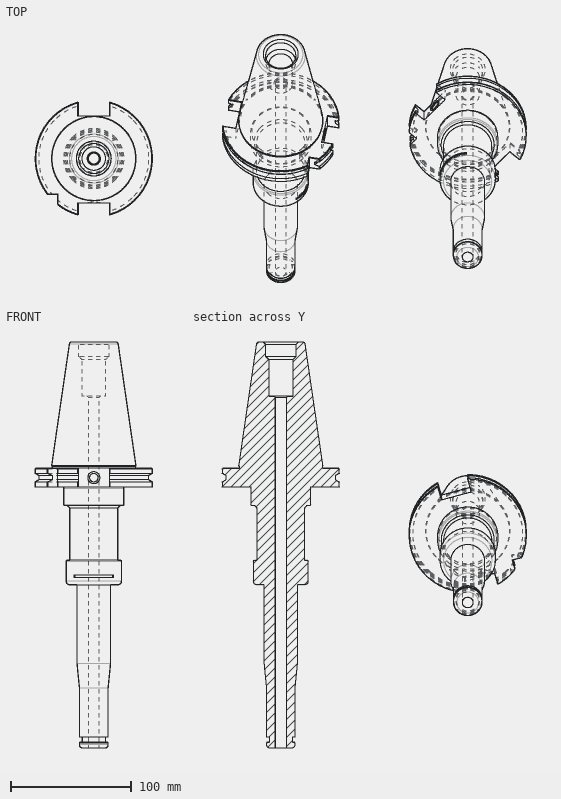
import cadquery as cq
import math


GAUGE_DIA = 69.85
TAPER_RATIO = 7 / 24
TAPER_LENGTH = 101.75
TAPER_TOP_DIA = GAUGE_DIA - TAPER_LENGTH * TAPER_RATIO
TAPER_TOP_FILLET = 2.0
TAPER_BOTTOM = -0.8
TAPER_BOTTOM_DIA = GAUGE_DIA - TAPER_BOTTOM * TAPER_RATIO
NECK_DIA = 69.25
NECK_STEP = 0.8

FLANGE_DIA = 97.32
FLANGE_TOP = -3.0
FLANGE_THICKNESS = 15.7
FLANGE_BOTTOM = FLANGE_TOP - FLANGE_THICKNESS
GROOVE_CENTER = -10.9
GROOVE_FLOOR_DIA = 91.25
GROOVE_MOUTH_WIDTH = 7.0
GROOVE_FLOOR_WIDTH = 3.4
RIM_CHAMFER = 0.6

SLOT_WIDTH = 25.7
SLOT_FLOOR_FRONT = 37.0
SLOT_FLOOR_BACK = 35.5
SLOT_EDGE_CHAMFER = 0.5
NOTCH_CORNER = 30.0
WALL_INNER_RADIUS = math.hypot(NOTCH_CORNER, NOTCH_CORNER) + SLOT_EDGE_CHAMFER
CHIP_HOLE_DIA = 10.0
CHIP_HOLE_DEPTH = 0.5
CHIP_SEAT_DIA = 7.0
CHIP_SEAT_DEPTH = 2.0

COLLAR_DIA = 50.0
COLLAR_BOTTOM = -34.1
COLLAR_FILLET = 1.0
BODY_DIA = 40.0
BODY_BEVEL = 2.0
NUT_DIA = 46.0
NUT_TOP = -79.3
NUT_BOTTOM = -99.8
NUT_TOP_FILLET = 1.0
NUT_BOTTOM_FILLET = 3.0
STEM_DIA = 28.0
CONE_TOP = -165.0
CONE_BOTTOM = -185.35
PILOT_DIA = 24.0
PILOT_BOTTOM = -226.2
TIP_GROOVE_DIA = 19.5
TIP_TOP = -230.3
TIP_DIA = 24.0
TIP_CHAMFER = 0.5
TIP_FILLET = 3.0
PART_BOTTOM = -235.35

MARK_CENTER = -92.6
MARK_WIDTH = 2.0
MARK_DEPTH = 1.0
MARK_ANGLE = 90.0

COUNTERBORE_DIA = 25.0
COUNTERBORE_DEPTH = 12.0
COUNTERBORE_CHAMFER = 2.0
THREAD_DIA = 19.5
THREAD_LEAD_IN = (COUNTERBORE_DIA - THREAD_DIA) / 2
THREAD_DEPTH = 45.0
THROUGH_DIA = 9.0
THROUGH_MOUTH_CHAMFER = 1.0


def radial_profile(points):
    """Revolve (diameter, z) points about the Z axis."""
    outline = [(diameter / 2, z) for diameter, z in points]
    return cq.Workplane("XZ").polyline(outline).close().revolve(360, (0, 0), (0, 1))


def make_taper():
    taper = radial_profile([
        (0, TAPER_LENGTH),
        (TAPER_TOP_DIA, TAPER_LENGTH),
        (TAPER_BOTTOM_DIA, TAPER_BOTTOM),
        (NECK_DIA, TAPER_BOTTOM - NECK_STEP),
        (NECK_DIA, FLANGE_TOP),
        (0, FLANGE_TOP),
    ])
    return taper.faces(">Z").edges().fillet(TAPER_TOP_FILLET)


def make_gripper_groove():
    return radial_profile([
        (GROOVE_FLOOR_DIA, GROOVE_CENTER + GROOVE_FLOOR_WIDTH / 2),
        (FLANGE_DIA, GROOVE_CENTER + GROOVE_MOUTH_WIDTH / 2),
        (FLANGE_DIA, GROOVE_CENTER - GROOVE_MOUTH_WIDTH / 2),
        (GROOVE_FLOOR_DIA, GROOVE_CENTER - GROOVE_FLOOR_WIDTH / 2),
    ])


def make_rim_bevel():
    return radial_profile([
        (FLANGE_DIA - 2 * RIM_CHAMFER, FLANGE_TOP),
        (FLANGE_DIA, FLANGE_TOP),
        (FLANGE_DIA, FLANGE_TOP - RIM_CHAMFER),
    ])


def flange_cut(x_min, x_max, y_min, y_max):
    return (cq.Workplane("XY").workplane(offset=FLANGE_BOTTOM)
            .center((x_min + x_max) / 2, (y_min + y_max) / 2)
            .rect(x_max - x_min, y_max - y_min).extrude(FLANGE_THICKNESS))


def make_chip_hole():
    """Shallow counterbore in the front slot floor, ending in a conical seat."""
    floor_y = -SLOT_FLOOR_FRONT
    seat_y = floor_y + CHIP_HOLE_DEPTH
    outline = [
        (0, floor_y),
        (CHIP_HOLE_DIA / 2, floor_y),
        (CHIP_HOLE_DIA / 2, seat_y),
        (CHIP_SEAT_DIA / 2, seat_y),
        (0, seat_y + CHIP_SEAT_DEPTH),
    ]
    hole = cq.Workplane("XY").polyline(outline).close().revolve(360, (0, 0), (0, 1))
    return hole.translate((0, 0, GROOVE_CENTER))


def is_rim_corner(edge):
    center = edge.Center()
    return math.hypot(center.x, center.y) > WALL_INNER_RADIUS


def make_flange():
    half = SLOT_WIDTH / 2
    rim = FLANGE_DIA / 2
    flange = cq.Workplane("XY").workplane(offset=FLANGE_BOTTOM).circle(rim).extrude(FLANGE_THICKNESS)
    flange = flange.cut(flange_cut(-half, half, -rim, -SLOT_FLOOR_FRONT))
    flange = flange.cut(flange_cut(-half, half, SLOT_FLOOR_BACK, rim))
    flange = flange.cut(flange_cut(-rim, -NOTCH_CORNER, -rim, -NOTCH_CORNER))

    rim_corners = flange.edges("|Z").filter(is_rim_corner)
    wall_tops = flange.faces(">Z").edges("|Y")
    notch_top = flange.faces(">Z").edges("|X").filter(lambda edge: edge.Center().x < -NOTCH_CORNER)
    broken_edges = rim_corners.add(wall_tops).add(notch_top)
    flange = flange.newObject(broken_edges.vals()).chamfer(SLOT_EDGE_CHAMFER)
    return flange.cut(make_rim_bevel()).cut(make_gripper_groove()).cut(make_chip_hole())


def round_edge(body, diameter, z, fillet):
    """Fillet the circular edge of the given diameter at height z."""
    reach = diameter / 2 + fillet
    edge = cq.selectors.BoxSelector((-reach, -reach, z - fillet / 2), (reach, reach, z + fillet / 2))
    ring = body.edges(edge).filter(lambda candidate: candidate.Length() > math.pi * (diameter - fillet))
    return body.newObject(ring.vals()).fillet(fillet)


def make_shank():
    shank = radial_profile([
        (0, FLANGE_BOTTOM),
        (COLLAR_DIA, FLANGE_BOTTOM),
        (COLLAR_DIA, COLLAR_BOTTOM),
        (BODY_DIA + 2 * BODY_BEVEL, COLLAR_BOTTOM),
        (BODY_DIA, COLLAR_BOTTOM - BODY_BEVEL),
        (BODY_DIA, NUT_TOP),
        (NUT_DIA, NUT_TOP),
        (NUT_DIA, NUT_BOTTOM),
        (STEM_DIA, NUT_BOTTOM),
        (STEM_DIA, CONE_TOP),
        (PILOT_DIA, CONE_BOTTOM),
        (PILOT_DIA, PILOT_BOTTOM),
        (TIP_GROOVE_DIA, PILOT_BOTTOM),
        (TIP_GROOVE_DIA, TIP_TOP),
        (TIP_DIA - 2 * TIP_CHAMFER, TIP_TOP),
        (TIP_DIA, TIP_TOP - TIP_CHAMFER),
        (TIP_DIA, PART_BOTTOM),
        (0, PART_BOTTOM),
    ])
    shank = round_edge(shank, COLLAR_DIA, FLANGE_BOTTOM, COLLAR_FILLET)
    shank = round_edge(shank, COLLAR_DIA, COLLAR_BOTTOM, COLLAR_FILLET)
    shank = round_edge(shank, NUT_DIA, NUT_TOP, NUT_TOP_FILLET)
    shank = round_edge(shank, NUT_DIA, NUT_BOTTOM, NUT_BOTTOM_FILLET)
    return round_edge(shank, TIP_DIA, PART_BOTTOM, TIP_FILLET)


def make_mark_groove():
    """Ring segment centred on the -Y side of the nut."""
    return (cq.Workplane("XZ").center(0, MARK_CENTER)
            .moveTo(NUT_DIA / 2, 0).rect(2 * MARK_DEPTH, MARK_WIDTH)
            .revolve(MARK_ANGLE, (0, 0), (0, 1))
            .rotate((0, 0, 0), (0, 0, 1), -90 - MARK_ANGLE / 2))


def make_bore():
    return radial_profile([
        (0, TAPER_LENGTH),
        (COUNTERBORE_DIA + 2 * COUNTERBORE_CHAMFER, TAPER_LENGTH),
        (COUNTERBORE_DIA, TAPER_LENGTH - COUNTERBORE_CHAMFER),
        (COUNTERBORE_DIA, TAPER_LENGTH - COUNTERBORE_DEPTH),
        (THREAD_DIA, TAPER_LENGTH - COUNTERBORE_DEPTH - THREAD_LEAD_IN),
        (THREAD_DIA, TAPER_LENGTH - THREAD_DEPTH),
        (THROUGH_DIA + 2 * THROUGH_MOUTH_CHAMFER, TAPER_LENGTH - THREAD_DEPTH),
        (THROUGH_DIA, TAPER_LENGTH - THREAD_DEPTH - THROUGH_MOUTH_CHAMFER),
        (THROUGH_DIA, PART_BOTTOM),
        (0, PART_BOTTOM),
    ])


result = make_taper().union(make_flange()).union(make_shank()).cut(make_mark_groove()).cut(make_bore())